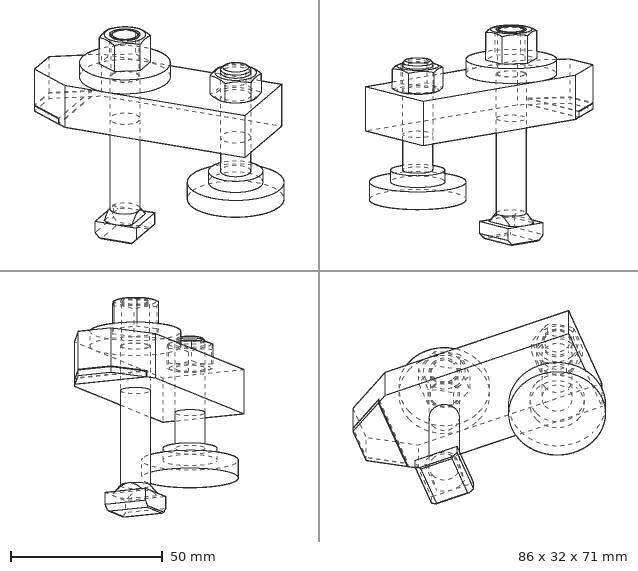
import cadquery as cq
import math


overall_length = 86.0

bar_length = 80.0
bar_width = 30.0
bar_height = 15.0
nose_width = 12.0
nose_taper_length = 15.0

pad_length = 11.8
pad_height = 1.9
pad_gap = 0.3

rod_diameter = 10.0
rod_end_chamfer = 0.8

hex_across_flats = 14.8
hex_corner_diameter = hex_across_flats / math.cos(math.pi / 6)
hex_face_diameter = 13.7
hex_corner_drop = 0.8

collar_diameter = bar_width
collar_height = 5.0
collar_nut_height = 15.05

groove_depth = rod_end_chamfer / 2
bolt_end_diameter = rod_diameter - 2 * groove_depth

hex_nut_height = 8.1

bolt_x = 30.0
bolt_top = bar_height + collar_nut_height
bolt_bottom = -41.0
head_side = 15.0
head_height = 6.0
head_side_chamfer = 2.0
head_edge_chamfer = 0.4
neck_height = 3.0
neck_base_diameter = head_side
neck_width = rod_diameter
head_top = bolt_bottom + head_height

foot_diameter = 32.0
foot_x = overall_length - foot_diameter / 2
foot_bottom = -22.0
foot_height = 6.0
foot_collar_diameter = 18.0
foot_collar_height = 3.95
rod_protrusion = 1.9
foot_top = bar_height + hex_nut_height + rod_protrusion


def cylinder(x, diameter, bottom, top):
    """Upright cylinder centred on the mid-plane at x."""
    return cq.Workplane("XY", origin=(x, 0, bottom)).circle(diameter / 2).extrude(top - bottom)


def cone(x, bottom_diameter, top_diameter, bottom, top):
    """Upright truncated cone centred on the mid-plane at x."""
    base_centre = cq.Vector(x, 0, bottom)
    return cq.Workplane(cq.Solid.makeCone(bottom_diameter / 2, top_diameter / 2, top - bottom, base_centre))


def nose_block(length, height):
    """Block of the full bar width at the tip of the nose, standing on the underside."""
    return cq.Workplane("XY").box(length, bar_width, height, centered=(False, True, False))


def bar_blank():
    """Bar with its tapered nose, before the holes and the pad recess."""
    half_width = bar_width / 2
    half_nose = nose_width / 2
    outline = [
        (0, -half_nose),
        (nose_taper_length, -half_width),
        (bar_length, -half_width),
        (bar_length, half_width),
        (nose_taper_length, half_width),
        (0, half_nose),
    ]
    return cq.Workplane("XY").polyline(outline).close().extrude(bar_height)


def make_clamp_bar():
    pad_recess = nose_block(pad_length + pad_gap, pad_height + pad_gap)
    bar = bar_blank().cut(pad_recess)
    for x in (bolt_x, foot_x):
        bar = bar.cut(cylinder(x, rod_diameter, 0, bar_height))
    return bar


def make_nose_pad():
    return bar_blank().intersect(nose_block(pad_length, pad_height))


def hex_prism(x, bottom, top, chamfer_bottom):
    """Hexagon with corners on Y, its end corners turned off by a shallow cone."""
    face_radius = hex_face_diameter / 2
    corner_radius = hex_corner_diameter / 2
    height = top - bottom
    prism = (
        cq.Workplane("XY", origin=(x, 0, bottom))
        .transformed(rotate=(0, 0, 90))
        .polygon(6, hex_corner_diameter)
        .extrude(height)
    )
    profile = cq.Workplane("XZ", origin=(x, 0, bottom)).moveTo(0, 0)
    if chamfer_bottom:
        profile = profile.lineTo(face_radius, 0).lineTo(corner_radius, hex_corner_drop)
    else:
        profile = profile.lineTo(corner_radius, 0)
    turned = (
        profile.lineTo(corner_radius, height - hex_corner_drop)
        .lineTo(face_radius, height)
        .lineTo(0, height)
        .close()
        .revolve(360, (0, 0, 0), (0, 1, 0))
    )
    return prism.intersect(turned)


def make_collar_nut():
    collar_top = bar_height + collar_height
    collar = cylinder(bolt_x, collar_diameter, bar_height, collar_top)
    hexagon = hex_prism(bolt_x, collar_top, bolt_top, chamfer_bottom=False)
    bore = cylinder(bolt_x, bolt_end_diameter, bar_height, bolt_top)
    countersink = cone(bolt_x, bolt_end_diameter, rod_diameter, bolt_top - groove_depth, bolt_top)
    return collar.union(hexagon).cut(bore).cut(countersink)


def make_hex_nut():
    nut_top = bar_height + hex_nut_height
    hexagon = hex_prism(foot_x, bar_height, nut_top, chamfer_bottom=True)
    return hexagon.cut(cylinder(foot_x, rod_diameter, bar_height, nut_top))


def rod(x, diameter, bottom, top, end_chamfer):
    """Round rod with a chamfered upper end."""
    return cylinder(x, diameter, bottom, top).faces(">Z").chamfer(end_chamfer)


def bolt_neck():
    """Cone from the rod down to the head, cut flat on both X sides to the rod width."""
    taper = cone(bolt_x, neck_base_diameter, rod_diameter, head_top, head_top + neck_height)
    flats = cq.Workplane("XY", origin=(bolt_x, 0, head_top)).box(
        neck_width, neck_base_diameter, neck_height, centered=(True, True, False)
    )
    return taper.intersect(flats)


def bolt_head():
    """Square head, broadly chamfered on its lower X edges and finely on its lower Y edges."""
    head = cq.Workplane("XY", origin=(bolt_x, 0, bolt_bottom)).box(
        head_side, head_side, head_height, centered=(True, True, False)
    )
    head = head.faces("<Z").edges("|Y").chamfer(head_side_chamfer)
    return head.faces("<Z").edges("|X").chamfer(head_edge_chamfer)


def make_t_bolt():
    """T-bolt whose rod steps down to a slimmer end where it enters the collar nut."""
    shank = cylinder(bolt_x, rod_diameter, head_top, bar_height)
    end = rod(bolt_x, bolt_end_diameter, bar_height, bolt_top, groove_depth)
    return bolt_head().union(bolt_neck()).union(shank).union(end)


def make_support_foot():
    base_top = foot_bottom + foot_height
    collar_top = base_top + foot_collar_height
    base = cylinder(foot_x, foot_diameter, foot_bottom, base_top)
    collar = cylinder(foot_x, foot_collar_diameter, base_top, collar_top)
    return base.union(collar).union(rod(foot_x, rod_diameter, collar_top, foot_top, rod_end_chamfer))


clamp_bar = make_clamp_bar()
nose_pad = make_nose_pad()
collar_nut = make_collar_nut()
hex_nut = make_hex_nut()
t_bolt = make_t_bolt()
support_foot = make_support_foot()

result = cq.Compound.makeCompound([
    clamp_bar.val(),
    nose_pad.val(),
    collar_nut.val(),
    hex_nut.val(),
    t_bolt.val(),
    support_foot.val(),
])